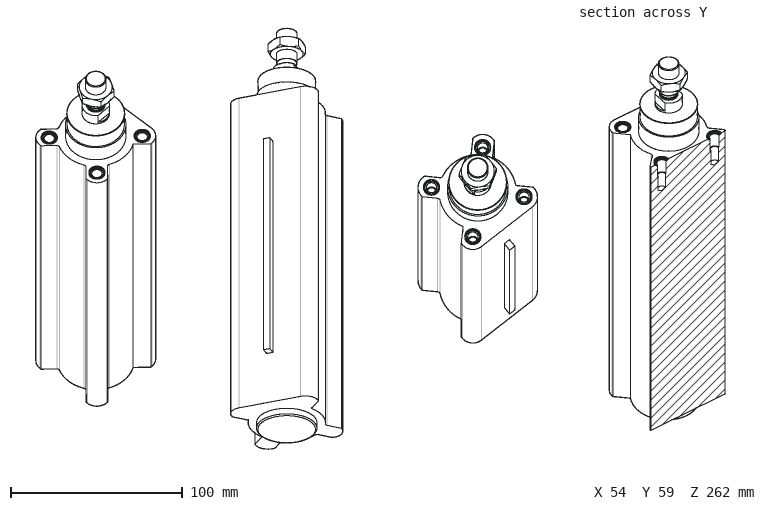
import cadquery as cq
import math

LENGTH = 262.0
BODY_BOTTOM = 4.5
BODY_TOP = 209.0
COLLAR_TOP = 220.0
CAP_TOP = 230.2
FLATS_BOTTOM = 231.5
SHOULDER_TOP = 237.8
NECK_GROOVE_BOTTOM = 238.5
NECK_GROOVE_TOP = 239.5
THREAD_BOTTOM = 241.7
NUT_BOTTOM = 247.8
NUT_TOP = 254.3

BODY_WIDTH = 54.0
CORNER_RADIUS = 7.9
BARREL_DIAMETER = 45.0
LUG_WIDTH = 12.5
LUG_ROOT_RADIUS = 1.5

COLLAR_DIAMETER = 35.0
CAP_TOP_DIAMETER = 33.8
CAP_CHAMFER = 0.3
CAP_BOTTOM_DIAMETER = 33.3
END_CHAMFER = 0.8

HOLE_PITCH = 38.2
HOLE_STEPS = [(9.5, 0.5), (9.0, 0.8), (7.5, 1.0), (6.0, 10.5), (5.0, 21.0)]
DRILL_POINT_ANGLE = 118.0

RAIL_WIDTH = 4.0
RAIL_HEIGHT = 5.0
RAIL_BOTTOM = 37.0
RAIL_TOP = 176.3

ROD_DIAMETER = 16.0
ROD_FLATS = 12.8
NECK_TOP_DIAMETER = 11.5
NECK_BOTTOM_DIAMETER = 10.7
NECK_GROOVE_DIAMETER = 10.2
THREAD_DIAMETER = 12.0
THREAD_CHAMFER = 0.5

NUT_FLATS = 19.0
NUT_SIDES = 6
NUT_CHAMFER_ANGLE = 30.0


def plane_at(height):
    return cq.Workplane("XY").workplane(offset=height)


def cylinder(diameter, bottom, top):
    return plane_at(bottom).circle(diameter / 2).extrude(top - bottom)


def cone(bottom_diameter, top_diameter, bottom, top):
    outline = [(0, bottom), (bottom_diameter / 2, bottom), (top_diameter / 2, top), (0, top)]
    return cq.Workplane("XZ").polyline(outline).close().revolve(360, (0, 0), (0, 1))


def make_profile():
    """Barrel with four diagonal lugs and a flat +Y side, trimmed by a rounded square."""
    base = plane_at(BODY_BOTTOM)
    height = BODY_TOP - BODY_BOTTOM
    half = BODY_WIDTH / 2
    barrel = base.circle(BARREL_DIAMETER / 2).extrude(height)
    for angle in (45, -45):
        lugs = base.transformed(rotate=(0, 0, angle)).rect(2 * BODY_WIDTH, LUG_WIDTH).extrude(height)
        barrel = barrel.union(lugs)
    radius = BARREL_DIAMETER / 2
    lower_half = cq.selectors.BoxSelector((-radius, -radius, 0), (radius, 0, LENGTH))
    barrel = barrel.edges("|Z").edges(lower_half).fillet(LUG_ROOT_RADIUS)
    flat_side = base.polyline([(0, 0), (half, half), (-half, half)]).close().extrude(height)
    square = base.rect(BODY_WIDTH, BODY_WIDTH).extrude(height).edges("|Z").fillet(CORNER_RADIUS)
    return barrel.union(flat_side).intersect(square)


def make_screw_holes():
    outline = [(0, BODY_TOP)]
    floor = BODY_TOP
    for diameter, depth in HOLE_STEPS:
        outline.append((diameter / 2, floor))
        floor = BODY_TOP - depth
        outline.append((diameter / 2, floor))
    tip_depth = HOLE_STEPS[-1][0] / 2 / math.tan(math.radians(DRILL_POINT_ANGLE / 2))
    outline.append((0, floor - tip_depth))
    hole = cq.Workplane("XZ").polyline(outline).close().revolve(360, (0, 0), (0, 1)).val()
    centers = cq.Workplane("XY").rect(HOLE_PITCH, HOLE_PITCH, forConstruction=True).vertices()
    return centers.eachpoint(lambda place: hole.moved(place))


def make_rail():
    inner_face = BARREL_DIAMETER / 2
    outer_face = BODY_WIDTH / 2 + RAIL_HEIGHT
    return (
        plane_at(RAIL_BOTTOM)
        .center(0, (inner_face + outer_face) / 2)
        .rect(RAIL_WIDTH, outer_face - inner_face)
        .extrude(RAIL_TOP - RAIL_BOTTOM)
    )


def make_housing():
    end_boss = cylinder(COLLAR_DIAMETER, 0, BODY_BOTTOM).faces("<Z").chamfer(END_CHAMFER)
    collar = cylinder(COLLAR_DIAMETER, BODY_TOP, COLLAR_TOP)
    cap = cone(CAP_BOTTOM_DIAMETER, CAP_TOP_DIAMETER, COLLAR_TOP, CAP_TOP).faces(">Z").chamfer(CAP_CHAMFER)
    rod_bore = cylinder(ROD_DIAMETER, COLLAR_TOP, CAP_TOP)
    housing = make_profile().union(end_boss).union(collar).union(cap).union(make_rail())
    return housing.cut(make_screw_holes()).cut(rod_bore)


def make_rod():
    """Rod from the bottom of its bore, with two wrench flats facing -X and +X."""
    flats = plane_at(FLATS_BOTTOM).rect(ROD_FLATS, ROD_DIAMETER).extrude(SHOULDER_TOP - FLATS_BOTTOM)
    shoulder = cylinder(ROD_DIAMETER, FLATS_BOTTOM, SHOULDER_TOP).intersect(flats)
    neck_ring = cylinder(NECK_BOTTOM_DIAMETER, SHOULDER_TOP, NECK_GROOVE_BOTTOM)
    groove = cylinder(NECK_GROOVE_DIAMETER, NECK_GROOVE_BOTTOM, NECK_GROOVE_TOP)
    neck = cone(NECK_BOTTOM_DIAMETER, NECK_TOP_DIAMETER, NECK_GROOVE_TOP, THREAD_BOTTOM)
    thread = cylinder(THREAD_DIAMETER, THREAD_BOTTOM, LENGTH).faces(">Z").chamfer(THREAD_CHAMFER)
    rod = cylinder(ROD_DIAMETER, COLLAR_TOP, FLATS_BOTTOM).union(shoulder)
    return rod.union(neck_ring).union(groove).union(neck).union(thread)


def make_nut():
    """Hexagon nut with flats facing -X and +X and chamfered corners."""
    half_side_angle = 180 / NUT_SIDES
    corners = NUT_FLATS / math.cos(math.radians(half_side_angle))
    hexagon = plane_at(NUT_BOTTOM).transformed(rotate=(0, 0, half_side_angle)).polygon(NUT_SIDES, corners)
    nut = hexagon.extrude(NUT_TOP - NUT_BOTTOM)
    chamfer_width = (corners - NUT_FLATS) / 2
    chamfer_height = chamfer_width * math.tan(math.radians(NUT_CHAMFER_ANGLE))
    blank = cylinder(corners, NUT_BOTTOM, NUT_TOP).faces("<Z or >Z").chamfer(chamfer_height, chamfer_width)
    return nut.intersect(blank).cut(cylinder(THREAD_DIAMETER, NUT_BOTTOM, NUT_TOP))


housing = make_housing()
rod = make_rod()
nut = make_nut()
result = cq.Compound.makeCompound([housing.val(), rod.val(), nut.val()])